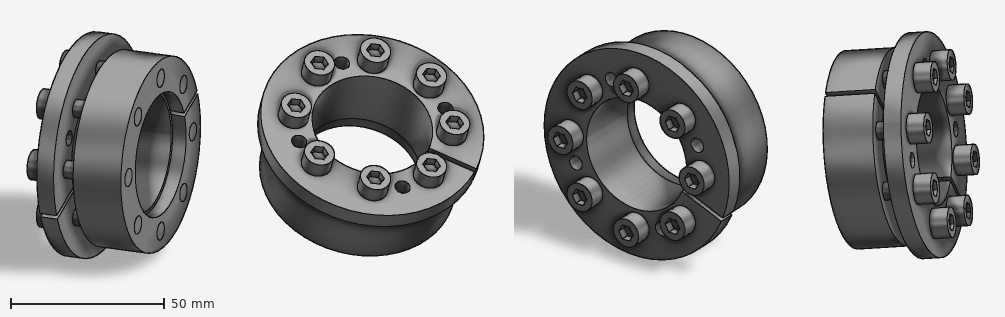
import cadquery as cq
import math


flange_front = 0.0
flange_thickness = 6.0
flange_back = flange_front + flange_thickness
ring_gap = 5.0
ring_front = flange_back + ring_gap
ring_length = 17.0
ring_back = ring_front + ring_length
sleeve_setback = ring_gap
sleeve_back = ring_back - sleeve_setback

bore_radius = 40.0 / 2
flange_radius = 74.0 / 2
ring_radius = 65.0 / 2

cone_radius_at_flange = 22.3
cone_half_angle = 4.0

slit_width = 1.5
ring_slit_angle = 22.5
sleeve_slit_angle = ring_slit_angle + 180.0

pitch_radius = 52.5 / 2
screw_count = 8
screw_spacing = 360.0 / screw_count
shank_diameter = 6.0
head_diameter = 10.0
head_height = 6.0
socket_across_flats = 5.0
socket_across_corners = socket_across_flats / math.cos(math.radians(30))
socket_depth = 3.0
jack_hole_count = 4
jack_hole_diameter = 5.0
jack_hole_start_angle = ring_slit_angle + screw_spacing


def cone_radius(x):
    """Radius of the conical joint at an axial position."""
    return cone_radius_at_flange - (x - flange_back) * math.tan(math.radians(cone_half_angle))


def cylinder(radius, x_start, x_end):
    """Solid cylinder on the X axis."""
    return cq.Workplane("YZ", origin=(x_start, 0, 0)).circle(radius).extrude(x_end - x_start)


def pitch_circle_pins(diameter, x_start, x_end, start_angle, count):
    """Equally spaced pins on the pitch circle, angles measured from +Y toward +Z."""
    return (
        cq.Workplane("YZ", origin=(x_start, 0, 0))
        .polarArray(pitch_radius, start_angle, 360, count)
        .circle(diameter / 2)
        .extrude(x_end - x_start)
    )


def slit_cutter(angle):
    """Radial slab from the axis outward, as long as the sleeve and ring together."""
    return (
        cq.Workplane("XY")
        .box(ring_back - flange_front, flange_radius * 2, slit_width, centered=(False, False, True))
        .translate((flange_front, 0, 0))
        .rotate((0, 0, 0), (1, 0, 0), angle)
    )


def make_cone_sleeve():
    """Flange and tapered sleeve with bore, screw holes, jacking holes and slit."""
    profile = [
        (flange_front, bore_radius),
        (flange_front, flange_radius),
        (flange_back, flange_radius),
        (flange_back, cone_radius(flange_back)),
        (sleeve_back, cone_radius(sleeve_back)),
        (sleeve_back, bore_radius),
    ]
    body = cq.Workplane("XY").polyline(profile).close().revolve(360, (0, 0, 0), (1, 0, 0))
    screw_holes = pitch_circle_pins(shank_diameter, flange_front, flange_back, 0, screw_count)
    jack_holes = pitch_circle_pins(
        jack_hole_diameter, flange_front, flange_back, jack_hole_start_angle, jack_hole_count
    )
    return body.cut(screw_holes).cut(jack_holes).cut(slit_cutter(sleeve_slit_angle))


def make_outer_ring():
    """Outer ring with tapered bore, screw holes and slit."""
    profile = [
        (ring_front, cone_radius(ring_front)),
        (ring_front, ring_radius),
        (ring_back, ring_radius),
        (ring_back, cone_radius(ring_back)),
    ]
    body = cq.Workplane("XY").polyline(profile).close().revolve(360, (0, 0, 0), (1, 0, 0))
    screw_holes = pitch_circle_pins(shank_diameter, ring_front, ring_back, 0, screw_count)
    return body.cut(screw_holes).cut(slit_cutter(ring_slit_angle))


def make_screw(angle):
    """Socket head screw seated on the flange, its shank filling the holes behind it."""
    head_front = flange_front - head_height
    head = cylinder(head_diameter / 2, head_front, flange_front)
    shank = cylinder(shank_diameter / 2, flange_front, ring_back)
    socket = (
        cq.Workplane("YZ", origin=(head_front, 0, 0))
        .polygon(6, socket_across_corners)
        .extrude(socket_depth)
    )
    y = pitch_radius * math.cos(math.radians(angle))
    z = pitch_radius * math.sin(math.radians(angle))
    return head.union(shank).cut(socket).translate((0, y, z))


cone_sleeve = make_cone_sleeve()
outer_ring = make_outer_ring()
screws = [make_screw(index * screw_spacing) for index in range(screw_count)]

result = cq.Compound.makeCompound(
    [cone_sleeve.val(), outer_ring.val(), *[screw.val() for screw in screws]]
)